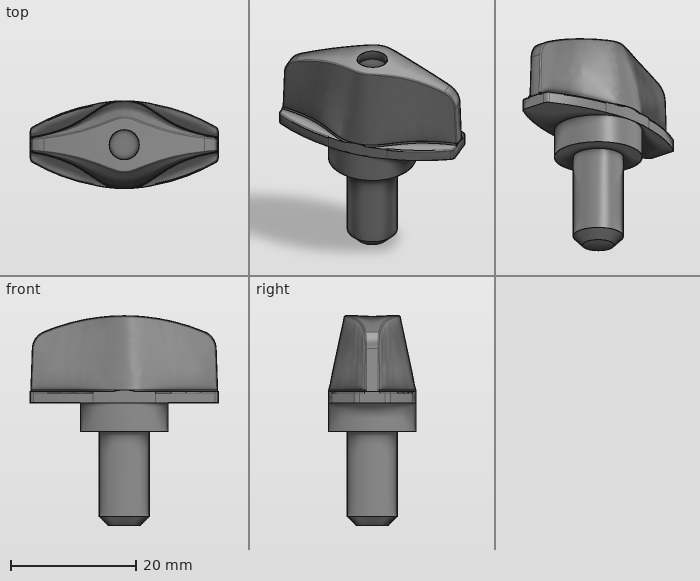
import cadquery as cq
import math

STUD_TOP = 15.0
COLLAR_TOP = 19.6
BASE_TOP = 21.4
WING_TOP = 33.5

STUD_DIAMETER = 8.0
STUD_CHAMFER = 1.5
COLLAR_DIAMETER = 14.0

BASE_THICKNESS = BASE_TOP - COLLAR_TOP
BASE_LENGTH = 30.0
BASE_WIDTH = COLLAR_DIAMETER
BASE_CROWN_HALF_LENGTH = 5.02
BASE_CROWN_END_Y = 6.4
BASE_FLANK_MIDDLE = (10.4, 4.85)
BASE_CORNER = (BASE_LENGTH / 2, 2.58)
BASE_CORNER_RADIUS = 1.0
EDGE_RADIUS = 0.2

ROOT_HUB_RADIUS = COLLAR_DIAMETER / 2
ROOT_HUB_ANGLE = 38.0
ROOT_TIP_HALF_THICKNESS = 1.1
CREST_HUB_RADIUS = 4.42
CREST_HUB_ANGLE = 24.6
CREST_TIP_HALF_THICKNESS = 1.05

WING_END_ROOT_X = 14.9
WING_END_CORNER = (14.6, 30.1)
WING_CORNER_RADIUS = 3.0

FLARE_WIDTH = 0.15
FLARE_HEIGHT = 0.27
BLADE_SEAT_WIDTH = 2 * (ROOT_TIP_HALF_THICKNESS + FLARE_WIDTH)

RECESS_DIAMETER = 4.8
RECESS_FLOOR = 32.0


def make_stud_and_collar():
    stud = cq.Workplane("XY").circle(STUD_DIAMETER / 2).extrude(STUD_TOP)
    stud = stud.faces("<Z").chamfer(STUD_CHAMFER)
    collar = cq.Workplane("XY", origin=(0, 0, STUD_TOP)).circle(COLLAR_DIAMETER / 2)
    return stud.union(collar.extrude(COLLAR_TOP - STUD_TOP))


def box_on_collar(length, width):
    slab = cq.Workplane("XY", origin=(0, 0, COLLAR_TOP)).rect(length, width)
    return slab.extrude(BASE_THICKNESS)


def base_prism(height):
    """Plate outline with a crowned middle and curved flanks, extruded up from the collar."""
    crown_x, crown_y = BASE_CROWN_HALF_LENGTH, BASE_CROWN_END_Y
    flank_x, flank_y = BASE_FLANK_MIDDLE
    end_x, end_y = BASE_CORNER
    half_width = BASE_WIDTH / 2
    prism = (
        cq.Workplane("XY", origin=(0, 0, COLLAR_TOP))
        .moveTo(end_x, -end_y)
        .lineTo(end_x, end_y)
        .threePointArc((flank_x, flank_y), (crown_x, crown_y))
        .threePointArc((0, half_width), (-crown_x, crown_y))
        .threePointArc((-flank_x, flank_y), (-end_x, end_y))
        .lineTo(-end_x, -end_y)
        .threePointArc((-flank_x, -flank_y), (-crown_x, -crown_y))
        .threePointArc((0, -half_width), (crown_x, -crown_y))
        .threePointArc((flank_x, -flank_y), (end_x, -end_y))
        .close()
        .extrude(height)
    )
    return prism.edges("|Z").edges("<X or >X").fillet(BASE_CORNER_RADIUS)


def make_base():
    """Plate with rounded top edges, left sharp along the crown and under the blade ends."""
    sharp = base_prism(BASE_THICKNESS)
    rounded = sharp.faces(">Z").edges().fillet(EDGE_RADIUS)
    crown = sharp.intersect(box_on_collar(2 * BASE_CROWN_HALF_LENGTH, BASE_WIDTH))
    blade_seat = box_on_collar(BASE_LENGTH, BLADE_SEAT_WIDTH)
    return rounded.union(crown).union(blade_seat)


def wing_outline(level, hub_radius, hub_angle, tip_half_thickness):
    """Closed plan wire: on each side a hub arc flows smoothly into two concave blade flanks."""
    angle = math.radians(hub_angle)
    hub_normal = cq.Vector(math.sin(angle), math.cos(angle))
    join = hub_normal * hub_radius
    tip = cq.Vector(BASE_LENGTH / 2, tip_half_thickness)

    chord = tip - join
    flank_radius = chord.dot(chord) / (2 * chord.dot(hub_normal))
    flank_center = join + hub_normal * flank_radius

    def flank_point(fraction):
        return flank_center + (join + chord * fraction - flank_center).normalized() * flank_radius

    def hub_point(fraction):
        return cq.Vector(math.sin(fraction * angle), math.cos(fraction * angle)) * hub_radius

    right_half = [tip, flank_point(2 / 3), flank_point(1 / 3), join, hub_point(1 / 2)]
    side = [(p.x, p.y) for p in right_half]
    side += [(0, hub_radius)]
    side += [(-p.x, p.y) for p in reversed(right_half)]
    opposite_side = [(-x, -y) for x, y in side]

    return (
        cq.Workplane("XY", origin=(0, 0, level))
        .moveTo(*side[0])
        .spline(side[1:], includeCurrent=True)
        .lineTo(*opposite_side[0])
        .spline(opposite_side[1:], includeCurrent=True)
        .close()
    )


def ruled_solid(lower, upper):
    return cq.Workplane(cq.Solid.makeLoft([lower.wires().val(), upper.wires().val()], True))


def above_root():
    """Selector for edges centred clear of the wing foot."""
    reach = 2 * BASE_LENGTH
    return cq.selectors.BoxSelector((-reach, -reach, BASE_TOP + FLARE_HEIGHT), (reach, reach, reach))


def wing_side_prism():
    """Side outline of the wings, with leaning ends, rounded shoulders and an arched crest."""
    corner_x, corner_z = WING_END_CORNER
    side = (
        cq.Workplane("XZ")
        .moveTo(-WING_END_ROOT_X, BASE_TOP)
        .lineTo(-corner_x, corner_z)
        .threePointArc((0, WING_TOP), (corner_x, corner_z))
        .lineTo(WING_END_ROOT_X, BASE_TOP)
        .close()
        .extrude(BASE_WIDTH, both=True)
    )
    return side.edges("|Y").edges(above_root()).fillet(WING_CORNER_RADIUS)


def make_wings():
    side = wing_side_prism()
    wings = ruled_solid(
        wing_outline(BASE_TOP, ROOT_HUB_RADIUS, ROOT_HUB_ANGLE, ROOT_TIP_HALF_THICKNESS),
        wing_outline(WING_TOP, CREST_HUB_RADIUS, CREST_HUB_ANGLE, CREST_TIP_HALF_THICKNESS),
    ).intersect(side)

    wings = wings.edges(above_root()).edges("not(|Y)").fillet(EDGE_RADIUS)
    return wings.union(make_flare(side))


def make_flare(side):
    """Bevelled skirt around the foot of the wings, trimmed to the base plate."""
    flare = ruled_solid(
        wing_outline(
            BASE_TOP,
            ROOT_HUB_RADIUS + FLARE_WIDTH,
            ROOT_HUB_ANGLE,
            ROOT_TIP_HALF_THICKNESS + FLARE_WIDTH,
        ),
        wing_outline(BASE_TOP + FLARE_HEIGHT, ROOT_HUB_RADIUS, ROOT_HUB_ANGLE, ROOT_TIP_HALF_THICKNESS),
    )
    return flare.intersect(side).intersect(base_prism(BASE_THICKNESS + FLARE_HEIGHT))


def make_recess():
    recess = cq.Workplane("XY", origin=(0, 0, RECESS_FLOOR)).circle(RECESS_DIAMETER / 2)
    return recess.extrude(WING_TOP - RECESS_FLOOR)


part = make_stud_and_collar().union(make_base()).union(make_wings())
result = part.cut(make_recess())